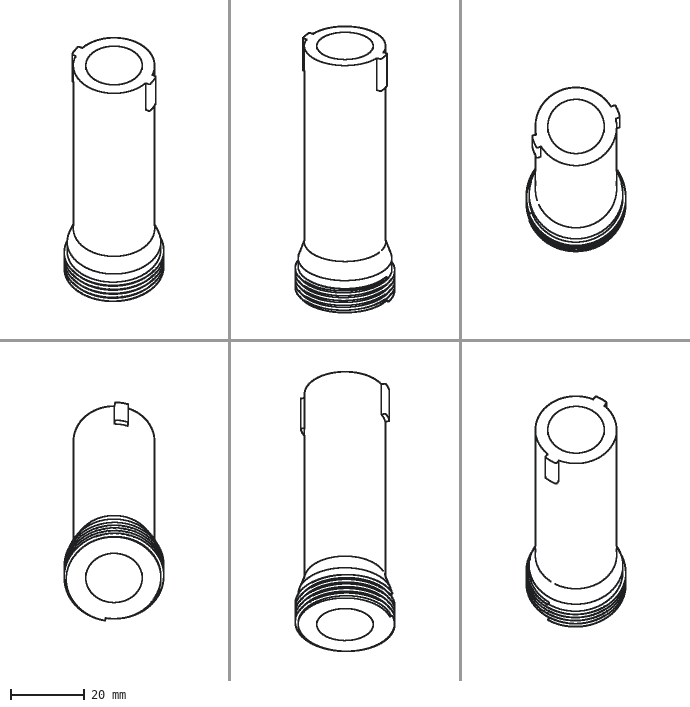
import cadquery as cq
import math

total_height = 76.0
tube_radius = 11.1
bore_radius = 7.7

collar_radius = 12.8
collar_height = 10.0
cone_height = 5.0

thread_radius = 13.6
thread_pitch = 1.5
thread_turns = 5
thread_angle = 60.0
thread_overlap = 0.1

key_tip_radius = 12.3
key_width = 3.7
key_height = 10.0
key_edge_radius = 0.3


def make_body():
    """Revolved tube with a conical shoulder widening into the collar."""
    cone_top = collar_height + cone_height
    profile = (
        cq.Workplane("XZ")
        .moveTo(0, 0)
        .lineTo(collar_radius, 0)
        .lineTo(collar_radius, collar_height)
        .lineTo(tube_radius, cone_top)
        .lineTo(tube_radius, total_height)
        .lineTo(0, total_height)
        .close()
    )
    return profile.revolve(360, (0, 0), (0, 1))


def make_keys():
    """Pair of opposite keys along X with cylindrical tips and rounded outer edges."""
    key_base = cq.Workplane("XY", origin=(0, 0, total_height - key_height))
    bar_length = 3 * key_tip_radius
    tip_cylinder = key_base.circle(key_tip_radius).extrude(key_height)
    return (
        key_base.rect(bar_length, key_width)
        .extrude(key_height)
        .intersect(tip_cylinder)
        .edges("|Z")
        .fillet(key_edge_radius)
    )


def make_thread():
    """Triangular helical ridge starting at -X, trimmed flat at both ends of its length."""
    thread_length = thread_turns * thread_pitch
    root_radius = collar_radius - thread_overlap
    half_root = (thread_radius - root_radius) * math.tan(math.radians(thread_angle / 2))
    helix = cq.Wire.makeHelix(thread_pitch, thread_length, root_radius)
    ridge = (
        cq.Workplane("XZ")
        .moveTo(root_radius, -half_root)
        .lineTo(thread_radius, 0)
        .lineTo(root_radius, half_root)
        .close()
        .sweep(cq.Workplane(obj=helix), isFrenet=True)
        .rotate((0, 0, 0), (0, 0, 1), 180)
    )
    envelope = cq.Workplane("XY").circle(2 * thread_radius).extrude(thread_length)
    return ridge.intersect(envelope)


def make_bore():
    """Straight bore through the full height."""
    return cq.Workplane("XY").circle(bore_radius).extrude(total_height)


result = make_body().union(make_keys()).union(make_thread()).cut(make_bore())